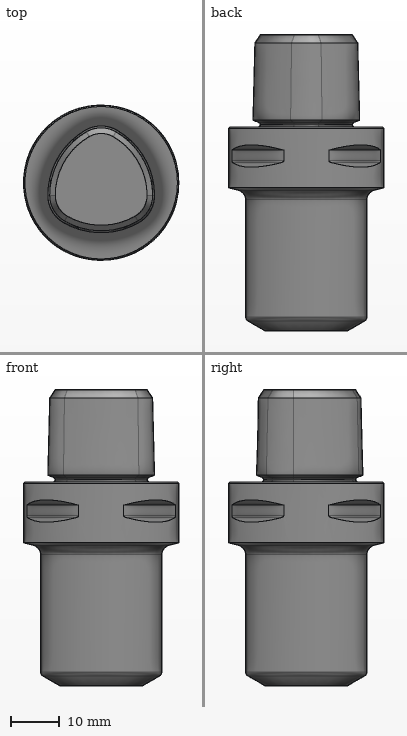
import cadquery as cq
import math


flange_radius = 16.0
flange_edge_chamfer = 0.3
underside_angle = math.radians(15.0)

body_radius = 12.5
body_bottom_z = -42.0
body_top_z = -15.0
root_radius = 2.0
tip_flat_radius = 8.5
tip_angle = math.radians(30.0)
tip_round_radius = 1.0

groove_count = 4
groove_first_angle = 45.0
groove_z = -6.0
groove_floor_distance = 14.1
groove_floor_half_height = 1.2
groove_flank_angle = math.radians(30.0)
groove_fillet = 0.5

polygon_width = 22.0
polygon_eccentricity = 0.7
polygon_bottom_z = 1.4
shank_top_z = 19.0
top_chamfer_height = 1.75
top_chamfer_inset = 1.15
taper_per_side = 1 / 40

neck_inset = 1.5
neck_chamfer_angle = math.radians(22.5)
neck_fillet = 0.45
neck_top_z = polygon_bottom_z - neck_inset * math.tan(neck_chamfer_angle)

lobe_angles = (90.0, 210.0, 330.0)
lobe_spacing = 120.0
lobe_half_span = 30.0
centre_distance = polygon_eccentricity / (1 - math.sqrt(3) / 2)
lobe_radius = polygon_width / 2 - centre_distance * math.sqrt(3) / 2

cutter_overrun = 1.0
selection_margin = 0.01


def polar(radius, degrees):
    """Vector in the XY plane from a radius and an angle in degrees."""
    angle = math.radians(degrees)
    return cq.Vector(radius * math.cos(angle), radius * math.sin(angle), 0)


def polygon_wire(z, inset):
    """Closed outline of the polygon at height z, moved inward by inset."""
    lobe_arc_radius = lobe_radius - inset
    flank_arc_radius = lobe_arc_radius + centre_distance * math.sqrt(3)
    lift = cq.Vector(0, 0, z)
    edges = []
    for lobe in lobe_angles:
        lobe_centre = polar(centre_distance, lobe) + lift
        lobe_start = lobe_centre + polar(lobe_arc_radius, lobe - lobe_half_span)
        lobe_tip = lobe_centre + polar(lobe_arc_radius, lobe)
        lobe_end = lobe_centre + polar(lobe_arc_radius, lobe + lobe_half_span)
        edges.append(cq.Edge.makeThreePointArc(lobe_start, lobe_tip, lobe_end))

        next_lobe = lobe + lobe_spacing
        flank = lobe + lobe_spacing / 2
        flank_middle = polar(flank_arc_radius - centre_distance, flank) + lift
        next_centre = polar(centre_distance, next_lobe) + lift
        next_start = next_centre + polar(lobe_arc_radius, next_lobe - lobe_half_span)
        edges.append(cq.Edge.makeThreePointArc(lobe_end, flank_middle, next_start))
    return cq.Wire.assembleEdges(edges)


def polygon_frustum(bottom_z, bottom_inset, top_z, top_inset):
    """Solid between two polygon outlines at different heights and insets."""
    wires = [polygon_wire(bottom_z, bottom_inset), polygon_wire(top_z, top_inset)]
    return cq.Workplane(cq.Solid.makeLoft(wires, True))


def make_body():
    """Flange and cylindrical body as one turned profile."""
    root_end_x = body_radius + root_radius * (1 - math.sin(underside_angle))
    root_end_z = body_top_z + root_radius * math.cos(underside_angle)
    flange_bottom_z = root_end_z + (flange_radius - root_end_x) * math.tan(underside_angle)
    root_turn = (math.pi / 2 - underside_angle) / 2
    root_mid_x = body_radius + root_radius * (1 - math.cos(root_turn))
    root_mid_z = body_top_z + root_radius * math.sin(root_turn)

    tip_turn = math.pi / 2 - tip_angle
    tip_cone_x = body_radius - tip_round_radius * (1 - math.cos(tip_turn))
    tip_cone_z = body_bottom_z + (tip_cone_x - tip_flat_radius) * math.tan(tip_angle)
    body_end_z = tip_cone_z + tip_round_radius * math.sin(tip_turn)
    tip_mid_x = body_radius - tip_round_radius * (1 - math.cos(tip_turn / 2))
    tip_mid_z = body_end_z - tip_round_radius * math.sin(tip_turn / 2)

    return (
        cq.Workplane("XZ")
        .moveTo(0, body_bottom_z)
        .lineTo(tip_flat_radius, body_bottom_z)
        .lineTo(tip_cone_x, tip_cone_z)
        .threePointArc((tip_mid_x, tip_mid_z), (body_radius, body_end_z))
        .lineTo(body_radius, body_top_z)
        .threePointArc((root_mid_x, root_mid_z), (root_end_x, root_end_z))
        .lineTo(flange_radius, flange_bottom_z)
        .lineTo(flange_radius, -flange_edge_chamfer)
        .lineTo(flange_radius - flange_edge_chamfer, 0)
        .lineTo(0, 0)
        .close()
        .revolve(360, (0, 0, 0), (0, 1, 0))
    )


def make_groove_cutter():
    """Straight trapezoidal bar across the +X side, rounded at its lower floor corner."""
    outer_x = flange_radius + cutter_overrun
    spread = (outer_x - groove_floor_distance) * math.tan(groove_flank_angle)
    outer_half_height = groove_floor_half_height + spread
    lower_corner = (groove_floor_distance, 0, groove_z - groove_floor_half_height)
    return (
        cq.Workplane("XZ")
        .moveTo(groove_floor_distance, groove_z - groove_floor_half_height)
        .lineTo(outer_x, groove_z - outer_half_height)
        .lineTo(outer_x, groove_z + outer_half_height)
        .lineTo(groove_floor_distance, groove_z + groove_floor_half_height)
        .close()
        .extrude(flange_radius, both=True)
        .edges(cq.selectors.NearestToPointSelector(lower_corner))
        .fillet(groove_fillet)
    )


def make_shank():
    """Tapered polygon with its top chamfer, lower chamfer and relief neck."""
    chamfer_z = shank_top_z - top_chamfer_height
    taper_inset = (chamfer_z - polygon_bottom_z) * taper_per_side
    top_inset = taper_inset + top_chamfer_inset

    neck = polygon_frustum(0, neck_inset, neck_top_z, neck_inset)
    lower_chamfer = polygon_frustum(neck_top_z, neck_inset, polygon_bottom_z, 0)
    taper = polygon_frustum(polygon_bottom_z, 0, chamfer_z, taper_inset)
    top_chamfer = polygon_frustum(chamfer_z, taper_inset, shank_top_z, top_inset)
    return neck.union(lower_chamfer).union(taper).union(top_chamfer)


def fillet_neck_corner(part, z):
    """Round the polygon-shaped inner corner lying at height z."""
    reach = polygon_width / 2 + polygon_eccentricity
    corner_edges = cq.selectors.BoxSelector(
        (-reach, -reach, z - selection_margin),
        (reach, reach, z + selection_margin),
        boundingbox=True,
    )
    return part.edges(corner_edges).fillet(neck_fillet)


def cut_grooves(part):
    """Cut the gripper grooves, evenly spaced around the flange."""
    cutter = make_groove_cutter()
    for index in range(groove_count):
        angle = groove_first_angle + index * 360 / groove_count
        part = part.cut(cutter.rotate((0, 0, 0), (0, 0, 1), angle))
    return part


result = make_body().union(make_shank())
result = fillet_neck_corner(result, 0)
result = fillet_neck_corner(result, neck_top_z)
result = cut_grooves(result)